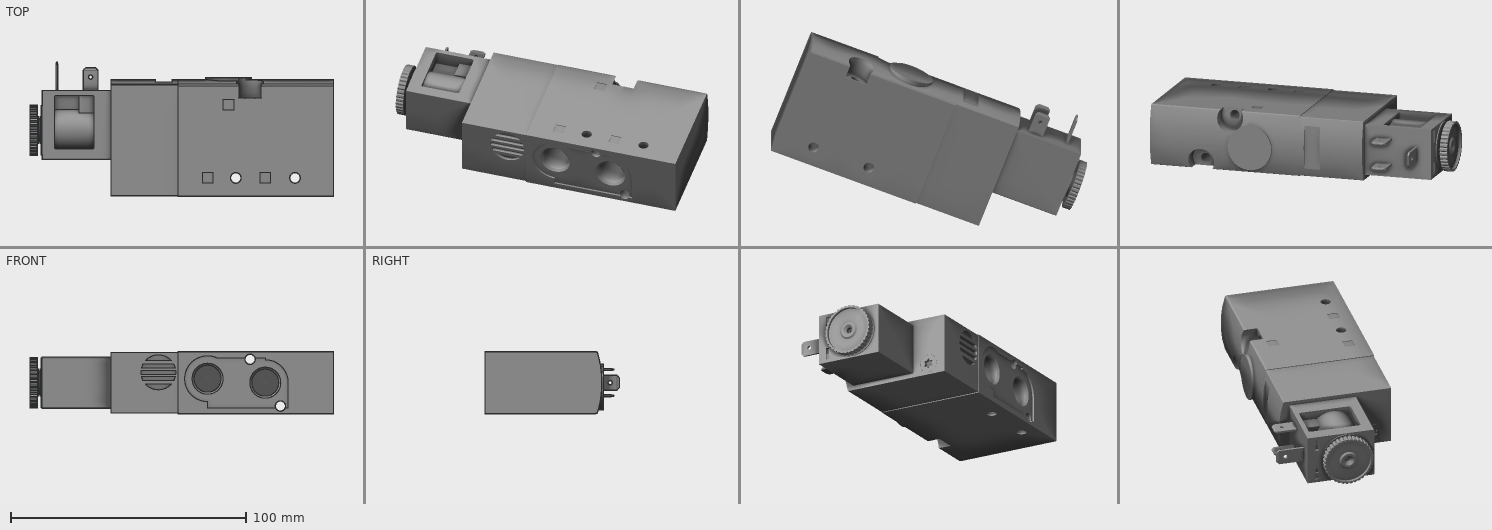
import cadquery as cq
import math


NUT_WIDTH = 3.2
COIL_START = 5.2
ADAPTER_START = 34.5
BODY_START = 63.0
BODY_END = 129.2

BODY_HEIGHT = 26.5
BACK_CROWN_Y = 49.7
BACK_EDGE_Y = 47.8
BODY_CHAMFER_Y = 0.8
BODY_CHAMFER_Z = 0.3

PORT_3 = (75.5, 1.7)
PORT_1 = (100.1, 0.0)
PORT_DIAMETER = 11.5
PORT_RIM_DIAMETER = 13.2
PORT_DEPTH = 15.5

PORT_PAD_RADIUS = 19.5 / 2
PORT_PAD_DEPTH = 0.8
PORT_PAD_TOP = 10.5
PORT_PAD_BOTTOM = -10.8

MOUNT_HOLES = [(93.6, 10.0), (106.5, -10.0)]
MOUNT_HOLE_DIAMETER = 4.3
COUNTERBORE_DIAMETER = 11.5
COUNTERBORE_FLOOR_Y = 41.8

CROSS_HOLES_X = [87.5, 112.7]
CROSS_HOLES_Y = 7.9
CROSS_HOLE_DIAMETER = 4.4

BOSS_X = 84.5
BOSS_Z = -1.8
BOSS_DIAMETER = 19.5
BOSS_FACE_Y = 50.5

LABEL_SIZE = 4.5
LABEL_DEPTH = 0.3
LABEL_2_Y = 39.0

ADAPTER_HEIGHT = 25.8
ADAPTER_CHAMFER_Y = 0.4
ADAPTER_CHAMFER_Z = 0.1
ADAPTER_FRONT_Y = 0.3
NOTCH_START = 53.5
NOTCH_END = 60.5
NOTCH_FLOOR_Y = 48.7

GRILLE_X = 54.6
GRILLE_Z = 4.4
GRILLE_DIAMETER = 14.9
GRILLE_DEPTH = 1.3
GRILLE_SLOT = 1.7
GRILLE_RIB = 1.0
GRILLE_OUTER_RIB = 1.4

SCREW_Y = 8.3
SCREW_Z = -7.9
SCREW_DIAMETER = 7.9
SCREW_RECESS_DIAMETER = 8.0
SCREW_LENGTH = 3.2
DRIVE_CORE_DIAMETER = 3.2
DRIVE_LOBE_DIAMETER = 0.9
DRIVE_DIAMETER = 4.4
DRIVE_DEPTH = 1.5
LOBE_COUNT = 6

COIL_FRONT_Y = 15.6
COIL_BACK_Y = 45.1
COIL_HEIGHT = 22.0
COIL_EDGE_RADIUS = 0.4
COIL_COLLAR_DIAMETER = 20.9
COIL_COLLAR_LENGTH = 0.4

AXIS_Y = 28.2
WINDING_DIAMETER = 19.5

WINDOW_START = 10.5
WINDOW_END = 27.3
WINDOW_FRONT_Y = 20.1
WINDOW_BACK_Y = 43.0
WINDOW_CORNER_RADIUS = 0.8
WINDOW_STEP_X = 20.8
LOW_FLOOR_FRONT_Y = 37.1
LOW_FLOOR_Z = 4.8
HIGH_FLOOR_FRONT_Y = 35.5
HIGH_FLOOR_Z = 7.1

END_SLOT_FRONT_Y = 40.0
END_SLOT_WIDTH = 1.5
END_SLOT_INNER_Z = 4.4
END_SLOT_STEP_Z = 6.8
END_SLOT_OUTER_Z = 9.5
END_SLOT_DEPTH = 1.3
END_SLOT_STEP_DEPTH = 0.6

BLADE_WIDTH = 6.5
BLADE_THICKNESS = 0.9
BLADE_CORNER = 1.2
BLADE_TAPER_OFFSET = 0.3
BLADE_HOLE_DIAMETER = 1.7
BLADE_HOLE_FROM_TIP = 4.0
POWER_BLADE_X = 25.8
POWER_BLADE_Z = 5.5
POWER_BLADE_TIP_Y = 54.8
GROUND_BLADE_X = 11.5
GROUND_BLADE_TIP_Y = 57.2

NUT_DIAMETER = 21.6
NUT_DISH_DIAMETER = 19.5
NUT_DISH_DEPTH = 1.3
KNURL_COUNT = 36
KNURL_WIDTH = 1.0
KNURL_DEPTH = 0.5
NECK_DIAMETER = 11.5
NECK_WAIST_DIAMETER = 10.0
NECK_LIP = 0.4

STEM_DIAMETER = 8.0
STEM_CHAMFER = 0.6
STEM_SOCKET_DIAMETER = 4.6
STEM_SOCKET_DEPTH = 1.0
STEM_PILOT_DIAMETER = 2.5
STEM_PILOT_DEPTH = 2.6
STEM_CENTRE_DIAMETER = 0.9
STEM_CENTRE_DEPTH = 3.2


def box(x_range, y_range, z_range):
    """Box from its limits along each axis."""
    (x0, x1), (y0, y1), (z0, z1) = x_range, y_range, z_range
    return cq.Workplane("XY").box(x1 - x0, y1 - y0, z1 - z0, centered=False).translate((x0, y0, z0))


def rod_x(diameter, x0, x1, y=AXIS_Y, z=0.0):
    """Cylinder along X."""
    return cq.Workplane("YZ", origin=(x0, y, z)).circle(diameter / 2).extrude(x1 - x0)


def rod_y(diameter, y0, y1, x, z):
    """Cylinder along Y."""
    return cq.Workplane("XZ", origin=(x, y0, z)).circle(diameter / 2).extrude(y0 - y1)


def rod_z(diameter, z0, z1, x, y):
    """Cylinder along Z."""
    return cq.Workplane("XY", origin=(x, y, z0)).circle(diameter / 2).extrude(z1 - z0)


def crowned_block(x0, x1, front_y, height, chamfer_y, chamfer_z):
    """Block whose back face is an arc in the YZ plane, with a chamfer beside each end of the arc."""
    top = height / 2
    profile = (
        cq.Workplane("YZ", origin=(x0, 0, 0))
        .moveTo(front_y, -top)
        .lineTo(BACK_EDGE_Y - chamfer_y, -top)
        .lineTo(BACK_EDGE_Y, chamfer_z - top)
        .threePointArc((BACK_CROWN_Y, 0), (BACK_EDGE_Y, top - chamfer_z))
        .lineTo(BACK_EDGE_Y - chamfer_y, top)
        .lineTo(front_y, top)
        .close()
    )
    return profile.extrude(x1 - x0)


def port_pad():
    """Shallow recess around both ports: a disc about each port joined by straight edges."""
    depth = (0, PORT_PAD_DEPTH)
    pad = rod_y(2 * PORT_PAD_RADIUS, *depth, *PORT_3)
    pad = pad.union(rod_y(2 * PORT_PAD_RADIUS, *depth, *PORT_1))
    pad = pad.union(box((PORT_3[0], PORT_1[0]), depth, (PORT_PAD_BOTTOM, PORT_PAD_TOP)))
    corner = box((PORT_1[0], PORT_1[0] + PORT_PAD_RADIUS), depth, (PORT_PAD_BOTTOM, PORT_1[1]))
    return pad.union(corner)


def port_bore(x, z):
    """Threaded-port bore with a 45 degree lead-in from the floor of the pad."""
    lead_in = (PORT_RIM_DIAMETER - PORT_DIAMETER) / 2
    bore = rod_y(PORT_DIAMETER, PORT_PAD_DEPTH, PORT_DEPTH, x, z)
    rim = cq.Solid.makeCone(
        PORT_RIM_DIAMETER / 2,
        PORT_DIAMETER / 2,
        lead_in,
        pnt=cq.Vector(x, PORT_PAD_DEPTH, z),
        dir=cq.Vector(0, 1, 0),
    )
    return bore.union(cq.Workplane(rim))


def mounting_hole(x, z):
    """Through hole along Y, counterbored from the back."""
    hole = rod_y(MOUNT_HOLE_DIAMETER, 0, BOSS_FACE_Y, x, z)
    return hole.union(rod_y(COUNTERBORE_DIAMETER, COUNTERBORE_FLOOR_Y, BOSS_FACE_Y, x, z))


def label_recess(x, y):
    """Shallow square recess in the top face."""
    half = LABEL_SIZE / 2
    top = BODY_HEIGHT / 2
    return box((x - half, x + half), (y - half, y + half), (top - LABEL_DEPTH, top))


def make_body():
    body = crowned_block(BODY_START, BODY_END, 0, BODY_HEIGHT, BODY_CHAMFER_Y, BODY_CHAMFER_Z)
    body = body.union(rod_y(BOSS_DIAMETER, COUNTERBORE_FLOOR_Y, BOSS_FACE_Y, BOSS_X, BOSS_Z))
    body = body.cut(port_pad())
    for x, z in (PORT_3, PORT_1):
        body = body.cut(port_bore(x, z))
    for x, z in MOUNT_HOLES:
        body = body.cut(mounting_hole(x, z))
    for x in CROSS_HOLES_X:
        body = body.cut(rod_z(CROSS_HOLE_DIAMETER, -BODY_HEIGHT / 2, BODY_HEIGHT / 2, x, CROSS_HOLES_Y))
    for x, y in ((PORT_3[0], CROSS_HOLES_Y), (PORT_1[0], CROSS_HOLES_Y), (BOSS_X, LABEL_2_Y)):
        body = body.cut(label_recess(x, y))
    return body


def grille():
    """Round vent: a disc divided into horizontal slots by four ribs."""
    depth = (ADAPTER_FRONT_Y, ADAPTER_FRONT_Y + GRILLE_DEPTH)
    disc = rod_y(GRILLE_DIAMETER, *depth, GRILLE_X, GRILLE_Z)
    radius = GRILLE_DIAMETER / 2
    inner_rib_z = GRILLE_SLOT / 2
    outer_rib_z = inner_rib_z + GRILLE_RIB + GRILLE_SLOT
    for start, width in ((inner_rib_z, GRILLE_RIB), (outer_rib_z, GRILLE_OUTER_RIB)):
        for low in (start, -start - width):
            z0 = GRILLE_Z + low
            rib = box((GRILLE_X - radius, GRILLE_X + radius), depth, (z0, z0 + width))
            disc = disc.cut(rib)
    return disc


def make_adapter():
    adapter = crowned_block(
        ADAPTER_START, BODY_START, ADAPTER_FRONT_Y, ADAPTER_HEIGHT, ADAPTER_CHAMFER_Y, ADAPTER_CHAMFER_Z
    )
    half = ADAPTER_HEIGHT / 2
    adapter = adapter.cut(box((NOTCH_START, NOTCH_END), (NOTCH_FLOOR_Y, BACK_CROWN_Y), (-half, half)))
    adapter = adapter.cut(grille())
    screw_end = ADAPTER_START + SCREW_LENGTH
    return adapter.cut(rod_x(SCREW_RECESS_DIAMETER, ADAPTER_START, screw_end, SCREW_Y, SCREW_Z))


def make_screw():
    """Flush screw head with a six-lobed drive."""
    head = rod_x(SCREW_DIAMETER, ADAPTER_START, ADAPTER_START + SCREW_LENGTH, SCREW_Y, SCREW_Z)
    drive_end = ADAPTER_START + DRIVE_DEPTH
    drive = rod_x(DRIVE_CORE_DIAMETER, ADAPTER_START, drive_end, SCREW_Y, SCREW_Z)
    lobe_radius = (DRIVE_DIAMETER - DRIVE_LOBE_DIAMETER) / 2
    for i in range(LOBE_COUNT):
        angle = 2 * math.pi * i / LOBE_COUNT
        y = SCREW_Y + lobe_radius * math.sin(angle)
        z = SCREW_Z + lobe_radius * math.cos(angle)
        drive = drive.union(rod_x(DRIVE_LOBE_DIAMETER, ADAPTER_START, drive_end, y, z))
    return head.cut(drive)


def coil_window():
    """Opening in the top face, down to the winding and two stepped floors behind it."""
    x_range = (WINDOW_START, WINDOW_END)
    opening = box(x_range, (WINDOW_FRONT_Y, WINDOW_BACK_Y), (0, COIL_HEIGHT / 2))
    opening = opening.edges("|Z").fillet(WINDOW_CORNER_RADIUS)
    low_floor = box(x_range, (LOW_FLOOR_FRONT_Y, WINDOW_BACK_Y), (0, LOW_FLOOR_Z))
    high_x = (WINDOW_STEP_X, WINDOW_END)
    high_floor = box(high_x, (HIGH_FLOOR_FRONT_Y, WINDOW_BACK_Y), (0, HIGH_FLOOR_Z))
    winding = rod_x(WINDING_DIAMETER, WINDOW_START, WINDOW_END)
    return opening.cut(low_floor).cut(high_floor).cut(winding)


def end_slot(side):
    """Stepped slot in the nut end of the coil, above (side = 1) or below (side = -1) the mid plane."""
    y_range = (END_SLOT_FRONT_Y, END_SLOT_FRONT_Y + END_SLOT_WIDTH)
    deep_z = sorted((side * END_SLOT_INNER_Z, side * END_SLOT_STEP_Z))
    shallow_z = sorted((side * END_SLOT_STEP_Z, side * END_SLOT_OUTER_Z))
    deep = box((COIL_START, COIL_START + END_SLOT_DEPTH), y_range, deep_z)
    return deep.union(box((COIL_START, COIL_START + END_SLOT_STEP_DEPTH), y_range, shallow_z))


def blade(tip_y):
    """Flat terminal lying in the XY plane, centred on X = 0, with a pierced and tapered tip."""
    half = BLADE_WIDTH / 2
    half_thick = BLADE_THICKNESS / 2
    plate = box((-half, half), (COIL_BACK_Y, tip_y), (-half_thick, half_thick))
    plate = plate.faces(">Y").edges("|Z").chamfer(BLADE_CORNER)
    taper = (
        cq.Workplane("YZ", origin=(-half, 0, 0))
        .moveTo(COIL_BACK_Y, -half_thick)
        .lineTo(tip_y - BLADE_CORNER, -half_thick)
        .lineTo(tip_y, BLADE_TAPER_OFFSET - half_thick)
        .lineTo(tip_y, half_thick - BLADE_TAPER_OFFSET)
        .lineTo(tip_y - BLADE_CORNER, half_thick)
        .lineTo(COIL_BACK_Y, half_thick)
        .close()
        .extrude(BLADE_WIDTH)
    )
    hole = rod_z(BLADE_HOLE_DIAMETER, -half_thick, half_thick, 0, tip_y - BLADE_HOLE_FROM_TIP)
    return plate.intersect(taper).cut(hole)


def make_coil():
    half = COIL_HEIGHT / 2
    coil = box((COIL_START, ADAPTER_START), (COIL_FRONT_Y, COIL_BACK_Y), (-half, half))
    coil = coil.faces("<Y").edges("|X").fillet(COIL_EDGE_RADIUS)
    coil = coil.union(rod_x(COIL_COLLAR_DIAMETER, COIL_START - COIL_COLLAR_LENGTH, COIL_START))
    coil = coil.cut(coil_window())
    for side in (1, -1):
        coil = coil.cut(end_slot(side))
        coil = coil.union(blade(POWER_BLADE_TIP_Y).translate((POWER_BLADE_X, 0, side * POWER_BLADE_Z)))
    ground = blade(GROUND_BLADE_TIP_Y).rotate((0, 0, 0), (0, 1, 0), 90)
    coil = coil.union(ground.translate((GROUND_BLADE_X, 0, 0)))
    return coil.cut(rod_x(STEM_DIAMETER, COIL_START - COIL_COLLAR_LENGTH, ADAPTER_START))


def make_nut():
    """Dished nut with V-shaped knurl grooves and a waisted neck."""
    nut = rod_x(NUT_DIAMETER, 0, NUT_WIDTH)
    rim_z = NUT_DIAMETER / 2
    groove = (
        cq.Workplane("YZ", origin=(0, AXIS_Y, 0))
        .moveTo(-KNURL_WIDTH, rim_z + KNURL_DEPTH)
        .lineTo(0, rim_z - KNURL_DEPTH)
        .lineTo(KNURL_WIDTH, rim_z + KNURL_DEPTH)
        .close()
        .extrude(NUT_WIDTH)
    )
    for i in range(KNURL_COUNT):
        turned = groove.rotate((0, AXIS_Y, 0), (1, AXIS_Y, 0), 360 * i / KNURL_COUNT)
        nut = nut.cut(turned)
    nut = nut.cut(rod_x(NUT_DISH_DIAMETER, 0, NUT_DISH_DEPTH))
    neck_end = COIL_START - COIL_COLLAR_LENGTH
    nut = nut.union(rod_x(NECK_WAIST_DIAMETER, NUT_WIDTH, neck_end))
    for x in (NUT_WIDTH, neck_end - NECK_LIP):
        nut = nut.union(rod_x(NECK_DIAMETER, x, x + NECK_LIP))
    return nut.cut(rod_x(STEM_DIAMETER, 0, neck_end))


def make_stem():
    """Guide stem through nut and coil, with a countersunk centre in its chamfered end."""
    start = NUT_DISH_DEPTH - STEM_CHAMFER
    stem = rod_x(STEM_DIAMETER, start, ADAPTER_START).faces("<X").chamfer(STEM_CHAMFER)
    cone = cq.Solid.makeCone(
        STEM_SOCKET_DIAMETER / 2,
        STEM_PILOT_DIAMETER / 2,
        STEM_SOCKET_DEPTH,
        pnt=cq.Vector(start, AXIS_Y, 0),
        dir=cq.Vector(1, 0, 0),
    )
    stem = stem.cut(cq.Workplane(cone))
    stem = stem.cut(rod_x(STEM_PILOT_DIAMETER, start, start + STEM_PILOT_DEPTH))
    return stem.cut(rod_x(STEM_CENTRE_DIAMETER, start, start + STEM_CENTRE_DEPTH))


body = make_body()
adapter = make_adapter()
screw = make_screw()
coil = make_coil()
nut = make_nut()
stem = make_stem()

result = cq.Compound.makeCompound(
    [body.val(), adapter.val(), screw.val(), coil.val(), nut.val(), stem.val()]
)